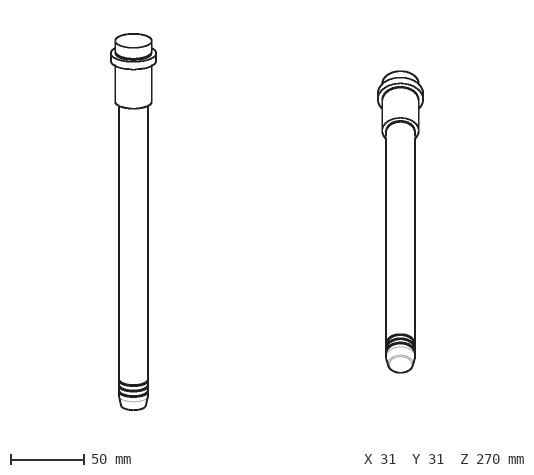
import cadquery as cq

total_length = 270.0
flange_diameter = 31.0
head_diameter = 25.0
rod_diameter = 20.0

head_bottom = 225.0
flange_bottom = 255.2
flange_top = 260.8

undercut_depth = 0.3
upper_undercut_height = 1.0
lower_undercut_height = 0.8
rod_undercut_height = 1.0

tip_diameter = 17.0
tip_height = 7.3
tip_rounding = 0.8

groove_count = 3
groove_pitch = 4.0
groove_width = 0.8
groove_depth = 0.3
lowest_groove_bottom = 10.5


def cylinder(diameter, bottom, top):
    """Upright cylinder on the part axis between two heights."""
    return cq.Workplane("XY").workplane(offset=bottom).circle(diameter / 2).extrude(top - bottom)


def ring_groove(diameter, bottom, width, depth):
    """Ring that cuts a groove into a cylinder of the given diameter."""
    inner_diameter = diameter - 2 * depth
    return cylinder(diameter, bottom, bottom + width).cut(cylinder(inner_diameter, bottom, bottom + width))


def make_rod():
    """Long rod with a tapered, rounded tip, oil grooves and an undercut below the head."""
    tip = (
        cq.Workplane("XY")
        .circle(tip_diameter / 2)
        .workplane(offset=tip_height)
        .circle(rod_diameter / 2)
        .loft(ruled=True)
        .faces("<Z")
        .edges()
        .fillet(tip_rounding)
    )
    rod = tip.union(cylinder(rod_diameter, tip_height, head_bottom))
    for index in range(groove_count):
        bottom = lowest_groove_bottom + index * groove_pitch
        rod = rod.cut(ring_groove(rod_diameter, bottom, groove_width, groove_depth))
    undercut_bottom = head_bottom - rod_undercut_height
    return rod.cut(ring_groove(rod_diameter, undercut_bottom, rod_undercut_height, undercut_depth))


def make_head():
    """Flanged head with an undercut on each side of the flange."""
    head = cylinder(head_diameter, head_bottom, total_length)
    head = head.cut(ring_groove(head_diameter, flange_top, upper_undercut_height, undercut_depth))
    lower_undercut_bottom = flange_bottom - lower_undercut_height
    head = head.cut(ring_groove(head_diameter, lower_undercut_bottom, lower_undercut_height, undercut_depth))
    return head.union(cylinder(flange_diameter, flange_bottom, flange_top))


result = make_rod().union(make_head())